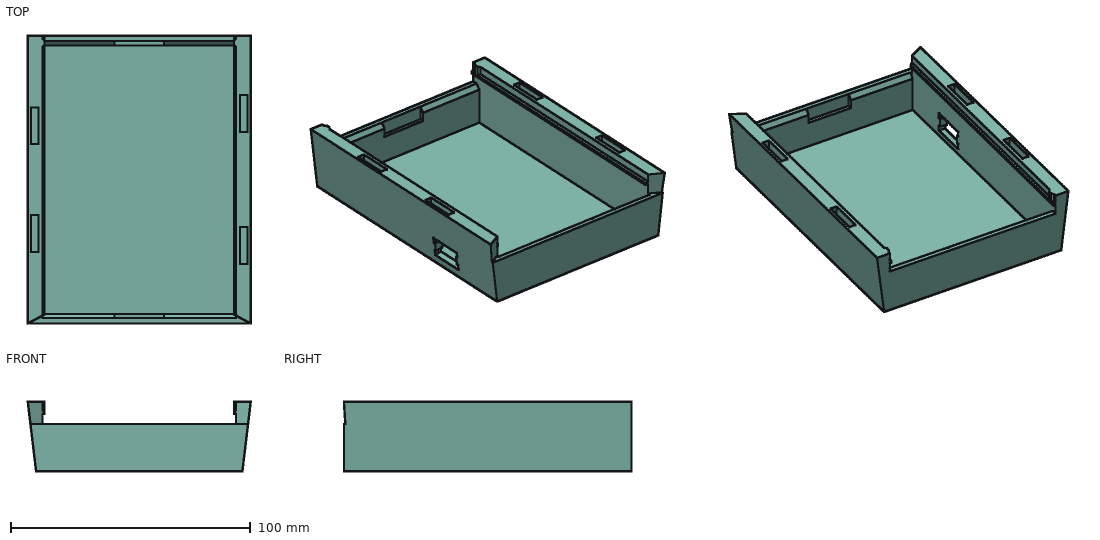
import cadquery as cq

length = 120.0
top_width = 93.0
bottom_width = 86.0
height = 29.0
floor_thickness = 1.7
end_wall_height = 19.8

rail_top_width = 6.2
cavity_half_width = top_width / 2 - rail_top_width
end_wall_thickness = 4.1

bevel_width = 1.8
bevel_drop = 2.2

recess_width = 20.5
recess_floor = 13.7

rib_reach = 0.8
rib_bottom = 24.0
rib_face_height = 0.7

bump_base_start = 1.2
bump_base_end = 4.8
bump_ramp = 1.0

rail_front_slant = 3.4

pocket_width = 3.0
pocket_length = 15.4
pocket_depth = 6.0
pocket_edge_distance = 1.5
left_pocket_centers = (22.5, -22.5)
right_pocket_centers = (27.5, -27.5)

window_center_y = -27.0
window_length = 15.6
window_height = 8.6
window_bottom = 3.8
window_depth = 6.0
tab_reach = 0.8
tab_height = 3.8

overshoot = 1.2


def box(x_range, y_range, z_range):
    """Box spanning the given coordinate ranges."""
    size = [high - low for low, high in (x_range, y_range, z_range)]
    return cq.Workplane("XY").box(*size, centered=False).translate((x_range[0], y_range[0], z_range[0]))


def along_y(points, start, end):
    """Extrude an XZ outline from start to end along Y."""
    return cq.Workplane("XZ", origin=(0, end, 0)).polyline(points).close().extrude(end - start)


def tapered_block():
    outline = [
        (-bottom_width / 2, 0),
        (bottom_width / 2, 0),
        (top_width / 2, height),
        (-top_width / 2, height),
    ]
    return along_y(outline, -length / 2, length / 2)


def cavity():
    """Main cavity with the clearance above the low end walls and their bevels."""
    inner_y = length / 2 - end_wall_thickness
    bevel_y = inner_y + bevel_width
    open_top = height + overshoot
    outer_y = length / 2 + overshoot
    outline = [
        (-inner_y, floor_thickness),
        (inner_y, floor_thickness),
        (inner_y, end_wall_height - bevel_drop),
        (bevel_y, end_wall_height),
        (outer_y, end_wall_height),
        (outer_y, open_top),
        (-outer_y, open_top),
        (-outer_y, end_wall_height),
        (-bevel_y, end_wall_height),
        (-inner_y, end_wall_height - bevel_drop),
    ]
    plane = cq.Workplane("YZ", origin=(-cavity_half_width, 0, 0))
    return plane.polyline(outline).close().extrude(2 * cavity_half_width)


def end_wall_recesses():
    """Single cutter that recesses the inner faces of both end walls."""
    reach = length / 2 - end_wall_thickness + bevel_width
    return box(
        (-recess_width / 2, recess_width / 2),
        (-reach, reach),
        (recess_floor, height),
    )


def right_rib():
    rib_edge = cavity_half_width - rib_reach
    face_top = rib_bottom + rib_face_height
    outline = [
        (cavity_half_width, rib_bottom),
        (rib_edge, rib_bottom),
        (rib_edge, face_top),
        (cavity_half_width, face_top + rib_reach),
    ]
    return along_y(outline, -length / 2, length / 2)


def right_bump():
    back = length / 2
    bump_edge = cavity_half_width - rib_reach
    outline = [
        (cavity_half_width, back - bump_base_start),
        (bump_edge, back - bump_base_start - bump_ramp),
        (bump_edge, back - bump_base_end + bump_ramp),
        (cavity_half_width, back - bump_base_end),
    ]
    plane = cq.Workplane("XY", origin=(0, 0, rib_bottom))
    return plane.polyline(outline).close().extrude(height - rib_bottom)


def right_front_slant():
    """Wedge that slants the front end of the right rail above the end wall."""
    front = -length / 2
    inner_x = cavity_half_width - rib_reach
    slant_slope = rail_front_slant / rail_top_width
    inner_y = front + (top_width / 2 - inner_x) * slant_slope
    outline = [(top_width / 2, front), (inner_x, inner_y), (inner_x, front)]
    plane = cq.Workplane("XY", origin=(0, 0, end_wall_height))
    return plane.polyline(outline).close().extrude(height - end_wall_height)


def mirrored_pair(shape):
    return shape.union(shape.mirror("YZ"))


def rail_pockets():
    center_x = top_width / 2 - pocket_edge_distance - pocket_width / 2
    points = [(-center_x, y) for y in left_pocket_centers]
    points += [(center_x, y) for y in right_pocket_centers]
    plane = cq.Workplane("XY", origin=(0, 0, height - pocket_depth))
    return plane.pushPoints(points).rect(pocket_width, pocket_length).extrude(pocket_depth)


def side_window():
    """Opening square to the sloped left wall, narrowed by a tab at each end."""
    wall_slope = (top_width - bottom_width) / 2 / height
    center_z = window_bottom + window_height / 2
    outer_x = -bottom_width / 2 - wall_slope * center_z
    plane = cq.Plane(
        origin=(outer_x, window_center_y, center_z),
        xDir=(0, 1, 0),
        normal=(1, 0, wall_slope),
    )
    slot_length = window_length - 2 * tab_reach
    band_height = (window_height - tab_height) / 2
    band_offset = (tab_height + band_height) / 2
    sketch = (
        cq.Sketch()
        .rect(slot_length, window_height)
        .push([(0, band_offset), (0, -band_offset)])
        .rect(window_length, band_height)
        .clean()
    )
    cutter = cq.Workplane(plane).placeSketch(sketch).extrude(window_depth)
    outward = cq.Workplane(plane).placeSketch(sketch).extrude(-overshoot)
    return cutter.union(outward)


result = (
    tapered_block()
    .cut(cavity())
    .cut(end_wall_recesses())
    .union(mirrored_pair(right_rib()))
    .union(mirrored_pair(right_bump()))
    .cut(mirrored_pair(right_front_slant()))
    .cut(rail_pockets())
    .cut(side_window())
)